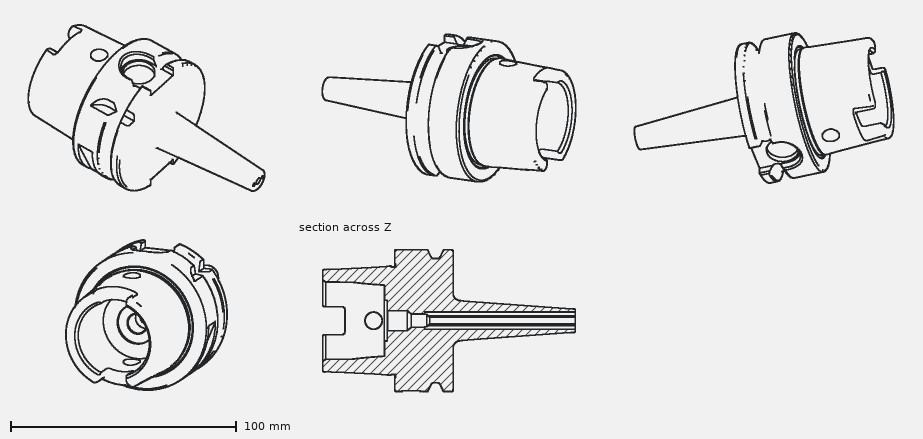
import cadquery as cq
import math

length = 112.0

shank_mouth_radius = 22.7
shank_taper = 0.05
shank_length = 31.9
mouth_round = 1.0
relief_slope = 0.6
relief_width = 1.8
relief_radius = 23.9
relief_outer_radius = 25.5
relief_floor_radius = 25.0
relief_depth = 0.5

flange_radius = 31.5
flange_end = 57.9
flange_round = 0.9
groove_center = 50.1
groove_root_radius = 27.5
groove_root_width = 3.2
groove_half_angle = math.radians(25)
groove_root_round = 1.1
groove_lip_round = 0.7

nose_base_radius = 9.0
nose_base_x = 60.8
nose_root_radius = 11.6
nose_tip_radius = 5.21
nose_tip_round = 0.8

bore_radius = 17.0
bore_mouth_radius = 18.1
bore_mouth_chamfer = 1.3
bore_step_x = 12.8
bore_floor_radius = 15.7
bore_floor_x = 27.4
recess_radius = 9.0
recess_depth = 1.1
coolant_radius = 4.7
coolant_lip = 0.3
coolant_length = 9.0
feed_radius = 2.87
feed_length = 6.7
tool_bore_radius = 1.5
jet_radius = 0.8
jet_offset = 3.0

slot_half_width = 6.2
slot_outer_height = 20.7
slot_corner_round = 3.0
slot_floor_round = 1.2
slot_overshoot = 1.1
top_slot_depth = 5.8
bottom_slot_depth = 9.9

cross_hole_radius = 3.75
cross_hole_x = 22.6

pocket_half_width = 8.0
pocket_center_x = 44.9
pocket_floor = 26.5
pocket_chamfer = 0.9
chip_hole_radius = 7.11
chip_hole_depth = 2.7

notch_wall = 19.99
notch_end_radius = 8.0
notch_center_x = 43.9
flat_start = 35.4
flat_end = 43.3
flat_distance = 28.9
flat_angle = 22.3


def turned(outline):
    """Revolve an outline of x and radius about the tool axis."""
    return outline.close().revolve(360, (0, 0, 0), (1, 0, 0))


def rod(start, end, radius, y=0.0):
    """Round bar parallel to the tool axis."""
    return cq.Workplane("YZ", origin=(start, y, 0)).circle(radius).extrude(end - start)


def round_circles_at(body, x, radius):
    """Fillet the full circles that lie around the axis at the given x."""
    near = 0.01
    at_x = cq.selectors.BoxSelector((x - near, -near, -near), (x + near, near, near))
    return body.edges(at_x).fillet(radius)


def make_slot_cutter(side, depth):
    """Cutter for one drive slot, flaring at the outside of the shank wall."""
    corner_y = slot_half_width + slot_corner_round
    corner_z = slot_outer_height - slot_corner_round
    mid = slot_corner_round * math.sqrt(0.5)
    cutter = (
        cq.Workplane("YZ", origin=(-slot_overshoot, 0, 0))
        .moveTo(-slot_half_width, 0)
        .lineTo(-slot_half_width, corner_z)
        .threePointArc((mid - corner_y, corner_z + mid), (-corner_y, slot_outer_height))
        .lineTo(-shank_mouth_radius, slot_outer_height)
        .lineTo(-shank_mouth_radius, flange_radius)
        .lineTo(shank_mouth_radius, flange_radius)
        .lineTo(shank_mouth_radius, slot_outer_height)
        .lineTo(corner_y, slot_outer_height)
        .threePointArc((corner_y - mid, corner_z + mid), (slot_half_width, corner_z))
        .lineTo(slot_half_width, 0)
        .close()
        .extrude(slot_overshoot + depth)
    )
    floor_edges = cq.selectors.BoxSelector(
        (depth - 0.1, -shank_mouth_radius + 1.1, 1.1),
        (depth + 0.1, shank_mouth_radius - 1.1, slot_outer_height + 0.1),
    )
    cutter = cutter.edges(floor_edges).fillet(slot_floor_round)
    return cutter if side > 0 else cutter.rotate((0, 0, 0), (1, 0, 0), 180)


def make_shank():
    """Solid taper with both drive slots and a rounded mouth."""
    taper_end = shank_length - relief_width
    shank = turned(
        cq.Workplane("XZ")
        .lineTo(0, shank_mouth_radius)
        .lineTo(taper_end, shank_mouth_radius + shank_taper * taper_end)
        .lineTo(taper_end + relief_slope, relief_radius)
        .lineTo(shank_length + relief_depth, relief_radius)
        .lineTo(shank_length + relief_depth, 0)
    )
    shank = shank.cut(make_slot_cutter(1, top_slot_depth))
    shank = shank.cut(make_slot_cutter(-1, bottom_slot_depth))
    return shank.faces("<X").edges().fillet(mouth_round)


def make_pocketed_ring():
    """Plain ring with a chamfered, round-ended pocket on its +Z and -Z sides."""
    ring = rod(shank_length, flange_end, flange_radius)
    slot_length = 2 * (flange_end - pocket_center_x) + 2 * pocket_half_width
    upright = cq.selectors.ParallelDirSelector(cq.Vector(0, 0, 1))
    for side in (1, -1):
        pocket = (
            cq.Workplane("XY", origin=(flange_end, 0, side * pocket_floor))
            .slot2D(slot_length, 2 * pocket_half_width)
            .extrude(side * flange_radius)
        )
        rim = cq.selectors.BoxSelector(
            (shank_length, -pocket_half_width - 1.1, side * (pocket_floor + 1.1)),
            (flange_end - 1.1, pocket_half_width + 1.1, side * flange_radius),
        )
        ring = ring.cut(pocket)
        ring = ring.edges(rim - upright).chamfer(pocket_chamfer)
        chip_hole = (
            cq.Workplane("XY", origin=(pocket_center_x, 0, side * (pocket_floor - chip_hole_depth)))
            .circle(chip_hole_radius)
            .extrude(side * flange_radius)
        )
        ring = ring.cut(chip_hole)
    return ring


def make_groove_cutter():
    """Gripper groove with a rounded root and flanks that round over into the rim."""
    root_half = groove_root_width / 2
    lip_half = root_half + (flange_radius - groove_root_radius) * math.tan(groove_half_angle)
    turn = math.pi / 2 - groove_half_angle
    touch = groove_lip_round * math.tan(turn / 2)
    flank_x = lip_half - touch * math.sin(groove_half_angle)
    flank_radius = flange_radius - touch * math.cos(groove_half_angle)
    outer_radius = flange_radius + 1.1
    left, right = groove_center - lip_half - touch, groove_center + lip_half + touch
    cutter = turned(
        cq.Workplane("XZ")
        .moveTo(left, outer_radius)
        .lineTo(left, flange_radius)
        .radiusArc((groove_center - flank_x, flank_radius), groove_lip_round)
        .lineTo(groove_center - root_half, groove_root_radius)
        .lineTo(groove_center + root_half, groove_root_radius)
        .lineTo(groove_center + flank_x, flank_radius)
        .radiusArc((right, flange_radius), groove_lip_round)
        .lineTo(right, outer_radius)
    )
    for side in (1, -1):
        cutter = round_circles_at(cutter, groove_center + side * root_half, groove_root_round)
    return cutter


def make_rim_cutter(end_x, inward):
    """Cutter that rounds the rim of the flange face at end_x."""
    outer_radius = flange_radius + 1.1
    return turned(
        cq.Workplane("XZ")
        .moveTo(end_x, flange_radius - flange_round)
        .radiusArc((end_x + inward * flange_round, flange_radius), inward * flange_round)
        .lineTo(end_x + inward * flange_round, outer_radius)
        .lineTo(end_x, outer_radius)
    )


def make_flange():
    """Pocketed ring with its turned groove, rounded rims and face relief."""
    flange = make_pocketed_ring()
    flange = flange.cut(make_rim_cutter(shank_length, 1))
    flange = flange.cut(make_rim_cutter(flange_end, -1))
    flange = flange.cut(make_groove_cutter())
    face_relief = turned(
        cq.Workplane("XZ")
        .moveTo(shank_length, 0)
        .lineTo(shank_length, relief_outer_radius)
        .lineTo(shank_length + relief_depth, relief_floor_radius)
        .lineTo(shank_length + relief_depth, 0)
    )
    return flange.cut(face_relief)


def cut_notch(body):
    """Square-cornered orientation notch between -Y and +Z, round at its closed end."""
    outer_y = -notch_wall - 2 * notch_end_radius
    cutter = (
        cq.Workplane("XY", origin=(0, 0, notch_wall))
        .moveTo(flange_end, -notch_wall)
        .lineTo(notch_center_x, -notch_wall)
        .threePointArc(
            (notch_center_x - notch_end_radius, -notch_wall - notch_end_radius),
            (notch_center_x, outer_y),
        )
        .lineTo(flange_end, outer_y)
        .close()
        .extrude(flange_radius)
    )
    return body.cut(cutter)


def cut_label_flat(body):
    """Flat on the -Y side, tilted downward."""
    depth = flange_radius - flat_distance
    block = (
        cq.Workplane("XY")
        .box(flat_end - flat_start, 2 * depth, 2 * flange_radius)
        .translate(((flat_start + flat_end) / 2, -flat_distance - depth, 0))
        .rotate((0, 0, 0), (1, 0, 0), flat_angle)
    )
    return body.cut(block)


def make_nose():
    """Slender cone blended into the flange face and rounded at its tip."""
    nose = turned(
        cq.Workplane("XZ")
        .moveTo(length, 0)
        .lineTo(length, nose_tip_radius)
        .lineTo(nose_base_x, nose_base_radius)
        .tangentArcPoint((flange_end, nose_root_radius), relative=False)
        .lineTo(flange_end, 0)
    )
    return round_circles_at(nose, length, nose_tip_round)


def make_bore():
    """Stepped cavity from the shank mouth to the nose tip."""
    coolant_end = bore_floor_x + recess_depth + coolant_length
    feed_start = coolant_end + coolant_radius - feed_radius
    feed_end = feed_start + feed_length
    cavity = turned(
        cq.Workplane("XZ")
        .lineTo(0, bore_mouth_radius)
        .lineTo(bore_mouth_chamfer, bore_radius)
        .lineTo(bore_step_x, bore_radius)
        .lineTo(bore_floor_x, bore_floor_radius)
        .lineTo(bore_floor_x, recess_radius)
        .lineTo(bore_floor_x + recess_depth, recess_radius)
        .lineTo(bore_floor_x + recess_depth, coolant_radius)
        .lineTo(bore_floor_x + recess_depth + coolant_lip, coolant_radius - coolant_lip)
        .lineTo(coolant_end, coolant_radius - coolant_lip)
        .lineTo(feed_start, feed_radius)
        .lineTo(feed_end, feed_radius)
        .lineTo(feed_end + feed_radius - tool_bore_radius, tool_bore_radius)
        .lineTo(length, tool_bore_radius)
        .lineTo(length, 0)
    )
    for side in (1, -1):
        cavity = cavity.union(rod(feed_end - jet_radius, length, jet_radius, side * jet_offset))
    return cavity


cross_hole = (
    cq.Workplane("XY", origin=(cross_hole_x, 0, -flange_radius))
    .circle(cross_hole_radius)
    .extrude(2 * flange_radius)
)

flange = cut_label_flat(cut_notch(make_flange()))

result = flange.union(make_shank()).union(make_nose())
result = result.cut(make_bore()).cut(cross_hole)